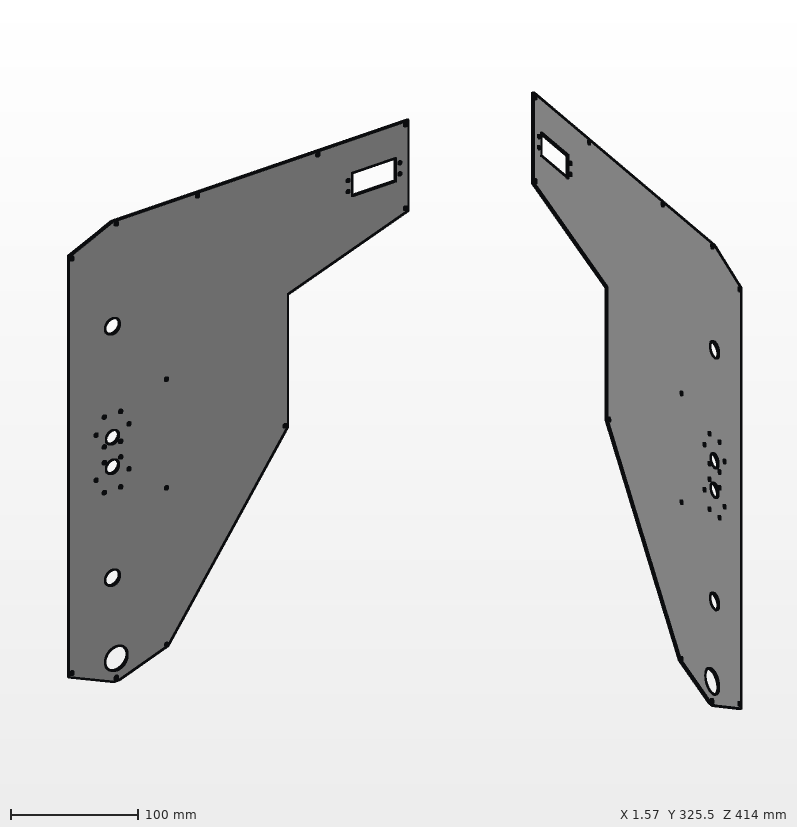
import cadquery as cq

thickness = 1.57
width = 325.5
height = 414.0
mid_height = height / 2

top_bevel_length = 42.0
top_bevel_drop = 18.2
bottom_bevel_rise = 18.0
tip_y = 45.5
tip_flat = 6.0
lower_corner_y = 95.0
lower_corner_z = 15.7
step_y = 210.2
step_bottom_z = 176.0
step_top_z = 294.5
arm_bottom_z = 332.5

edge_hole_diameter = 3.05
edge_inset = 3.0
edge_hole_y = width - edge_inset
edge_hole_z = height - edge_inset
top_hole_spots = (238.8, 123.5, tip_y)
bevel_hole_z = 393.0

window_width = 42.0
window_height = 20.5
window_y = 292.5
window_z = 373.3
window_screw_diameter = 2.52
window_screw_span = 49.5
window_screw_pitch = 10.0

opening_y = 42.0
outer_opening_diameter = 14.0
outer_opening_offset = 113.0
inner_opening_diameter = 12.5
inner_opening_offset = 13.2
mount_hole_diameter = 2.8
near_pair_half_span = 8.0
wide_pair_half_span = 15.7
near_pair_offsets = (7.0, 34.0)
wide_pair_offset = 20.3
side_hole_y = 93.5
side_hole_offset = 49.0

tip_opening_diameter = 21.5
tip_opening_z = 20.3


def cut_holes(body, points, diameter):
    """Drill through holes at the given (Y, Z) points."""
    cutter = cq.Workplane("YZ").pushPoints(points).circle(diameter / 2).extrude(thickness)
    return body.cut(cutter)


def mirrored(y, offset):
    """Return two points at equal distances above and below mid height."""
    return [(y, mid_height + offset), (y, mid_height - offset)]


def make_plate():
    outline = [
        (width, height),
        (top_bevel_length, height),
        (0, height - top_bevel_drop),
        (0, bottom_bevel_rise),
        (tip_y - tip_flat / 2, 0),
        (tip_y + tip_flat / 2, 0),
        (lower_corner_y, lower_corner_z),
        (step_y, step_bottom_z),
        (step_y, step_top_z),
        (width, arm_bottom_z),
    ]
    return cq.Workplane("YZ").polyline(outline).close().extrude(thickness)


def cut_edge_holes(body):
    points = [
        (edge_hole_y, edge_hole_z),
        (edge_hole_y, arm_bottom_z + edge_inset),
        (step_y - edge_inset, step_bottom_z + edge_inset / 2),
        (lower_corner_y - edge_inset / 2, lower_corner_z + edge_inset / 2),
        (tip_y, edge_inset),
        (edge_inset, height - bevel_hole_z),
        (edge_inset, bevel_hole_z),
    ]
    points += [(y, edge_hole_z) for y in top_hole_spots]
    return cut_holes(body, points, edge_hole_diameter)


def cut_window(body):
    window = (
        cq.Workplane("YZ")
        .center(window_y, window_z)
        .rect(window_width, window_height)
        .extrude(thickness)
    )
    screws = [
        (window_y + side * window_screw_span / 2, window_z + level * window_screw_pitch / 2)
        for side in (-1, 1)
        for level in (-1, 1)
    ]
    return cut_holes(body.cut(window), screws, window_screw_diameter)


def cut_openings(body):
    body = cut_holes(body, mirrored(opening_y, outer_opening_offset), outer_opening_diameter)
    body = cut_holes(body, mirrored(opening_y, inner_opening_offset), inner_opening_diameter)
    return cut_holes(body, [(tip_y, tip_opening_z)], tip_opening_diameter)


def cut_mount_holes(body):
    points = mirrored(side_hole_y, side_hole_offset)
    for side in (-1, 1):
        points += mirrored(opening_y + side * wide_pair_half_span, wide_pair_offset)
        for offset in near_pair_offsets:
            points += mirrored(opening_y + side * near_pair_half_span, offset)
    return cut_holes(body, points, mount_hole_diameter)


result = make_plate()
result = cut_edge_holes(result)
result = cut_window(result)
result = cut_openings(result)
result = cut_mount_holes(result)